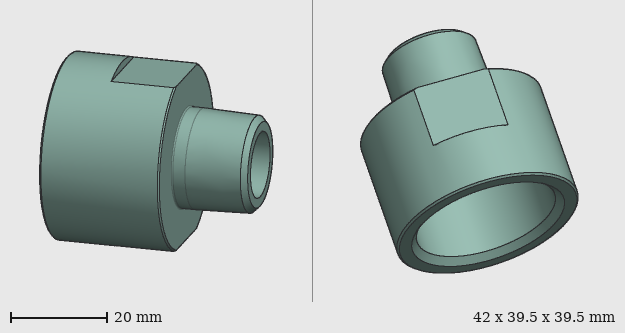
import cadquery as cq

total_length = 42.0
head_length = 26.0
head_diameter = 39.5
open_end_chamfer = 0.4
shoulder_chamfer = 0.35

spigot_diameter = 21.25
spigot_straight_length = 2.9
spigot_taper = 1 / 16
spigot_tip_chamfer = 1.2
spigot_root_fillet = 0.25

socket_diameter = 30.3
socket_mouth_diameter = 33.25
socket_depth = 22.0

bore_diameter = 14.0
bore_chamfer = 0.4

flat_length = 13.85
across_flats = 36.0


def turned_cylinder(diameter, start, length):
    """Solid cylinder about the X axis."""
    return cq.Workplane("YZ", origin=(start, 0, 0)).circle(diameter / 2).extrude(length)


def countersink(mouth_diameter, start, depth):
    """Cone about the X axis that narrows at 45 degrees from its mouth."""
    mouth_radius = mouth_diameter / 2
    tip_radius = mouth_radius - depth
    mouth_center = cq.Vector(start, 0, 0)
    x_axis = cq.Vector(1, 0, 0)
    return cq.Workplane(cq.Solid.makeCone(mouth_radius, tip_radius, depth, mouth_center, x_axis))


def make_head():
    head = turned_cylinder(head_diameter, 0, head_length)
    head = head.faces("<X").chamfer(open_end_chamfer)
    return head.faces(">X").chamfer(shoulder_chamfer)


def make_spigot():
    """Straight root, tapered body and chamfered tip, revolved about the X axis."""
    root_radius = spigot_diameter / 2
    taper_start = head_length + spigot_straight_length
    taper_end = total_length - spigot_tip_chamfer
    taper_end_radius = root_radius - (taper_end - taper_start) * spigot_taper / 2
    profile = (
        cq.Workplane("XY")
        .moveTo(head_length, 0)
        .lineTo(head_length, root_radius)
        .lineTo(taper_start, root_radius)
        .lineTo(taper_end, taper_end_radius)
        .lineTo(total_length, taper_end_radius - spigot_tip_chamfer)
        .lineTo(total_length, 0)
        .close()
    )
    return profile.revolve(360, (0, 0, 0), (1, 0, 0))


def fillet_spigot_root(body):
    margin = spigot_root_fillet
    reach = spigot_diameter / 2 + margin
    root_box = cq.selectors.BoxSelector(
        (head_length - margin, -reach, -reach), (head_length + margin, reach, reach), boundingbox=True
    )
    return body.edges(root_box).fillet(spigot_root_fillet)


def cut_socket(body):
    mouth_chamfer = (socket_mouth_diameter - socket_diameter) / 2
    body = body.cut(turned_cylinder(socket_diameter, 0, socket_depth))
    return body.cut(countersink(socket_mouth_diameter, 0, mouth_chamfer))


def cut_bore(body):
    body = body.cut(turned_cylinder(bore_diameter, 0, total_length))
    return body.cut(countersink(bore_diameter + 2 * bore_chamfer, socket_depth, bore_chamfer))


def cut_flats(body):
    flat_depth = (head_diameter - across_flats) / 2
    flat_center = head_length - flat_length / 2
    for side in (1, -1):
        cutter = cq.Workplane("XY").box(flat_length, head_diameter, flat_depth)
        height = side * (across_flats + flat_depth) / 2
        body = body.cut(cutter.translate((flat_center, 0, height)))
    return body


result = make_head().union(make_spigot())
result = fillet_spigot_root(result)
result = cut_socket(result)
result = cut_bore(result)
result = cut_flats(result)